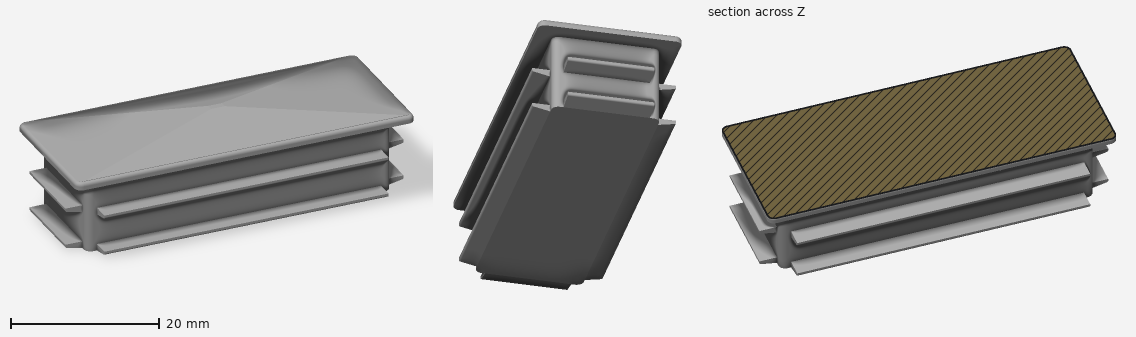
import cadquery as cq

cap_width = 20.0
cap_length = 50.0
total_height = 14.0

rim_bottom = 11.0
eave_height = 12.0
cap_corner_radius = 1.0
eave_fillet = 0.5
roof_width = cap_width - 2 * eave_fillet
roof_length = cap_length - 2 * eave_fillet
roof_flat_width = 1.0
roof_flat_length = 2.0
end_slope = (total_height - eave_height) / ((cap_length - roof_flat_length) / 2)
rim_top = eave_height + end_slope * eave_fillet

plug_inset = 2.5
plug_width = cap_width - 2 * plug_inset
plug_length = cap_length - 2 * plug_inset
plug_corner_radius = 1.0

fin_bottoms = (0.0, 5.5)
fin_root_thickness = 1.0
fin_tip_thickness = 0.5
fin_tip_fillet = 0.25
fin_end_gap = 1.5
fin_root_overlap = 0.5


def make_cap():
    """Rounded rim plate carrying a hipped roof inside its eave fillet."""
    rim = (
        cq.Workplane("XY")
        .workplane(offset=rim_bottom)
        .rect(cap_width, cap_length)
        .extrude(rim_top - rim_bottom)
        .edges("|Z")
        .fillet(cap_corner_radius)
        .faces(">Z")
        .edges()
        .fillet(eave_fillet)
    )
    hips = (
        cq.Workplane("XY")
        .workplane(offset=eave_height)
        .rect(cap_width, cap_length)
        .workplane(offset=total_height - eave_height)
        .rect(roof_flat_width, roof_flat_length)
        .loft(ruled=True)
    )
    roof_outline = (
        cq.Workplane("XY")
        .workplane(offset=eave_height)
        .rect(roof_width, roof_length)
        .extrude(total_height - eave_height)
        .edges("|Z")
        .fillet(cap_corner_radius - eave_fillet)
    )
    return rim.union(hips.intersect(roof_outline))


def make_plug():
    """Solid plug reaching from the bottom up to the rim."""
    return (
        cq.Workplane("XY")
        .rect(plug_width, plug_length)
        .extrude(rim_bottom)
        .edges("|Z")
        .fillet(plug_corner_radius)
    )


def make_fin(bottom, wall_distance, wall_length):
    """Fin on the +X side: flat top, underside rising to a rounded tip."""
    top = bottom + fin_root_thickness
    root = wall_distance - fin_root_overlap
    tip = wall_distance + plug_inset
    profile = [
        (root, bottom),
        (wall_distance, bottom),
        (tip, top - fin_tip_thickness),
        (tip, top),
        (root, top),
    ]
    fin_length = wall_length - 2 * fin_end_gap
    return (
        cq.Workplane("XZ")
        .polyline(profile)
        .close()
        .extrude(fin_length / 2, both=True)
        .faces(">X")
        .edges("<Z")
        .fillet(fin_tip_fillet)
    )


result = make_cap().union(make_plug())
for fin_bottom in fin_bottoms:
    side_fin = make_fin(fin_bottom, plug_width / 2, plug_length)
    end_fin = make_fin(fin_bottom, plug_length / 2, plug_width)
    for fin, angle in ((side_fin, 0), (end_fin, 90), (side_fin, 180), (end_fin, 270)):
        result = result.union(fin.rotate((0, 0, 0), (0, 0, 1), angle))